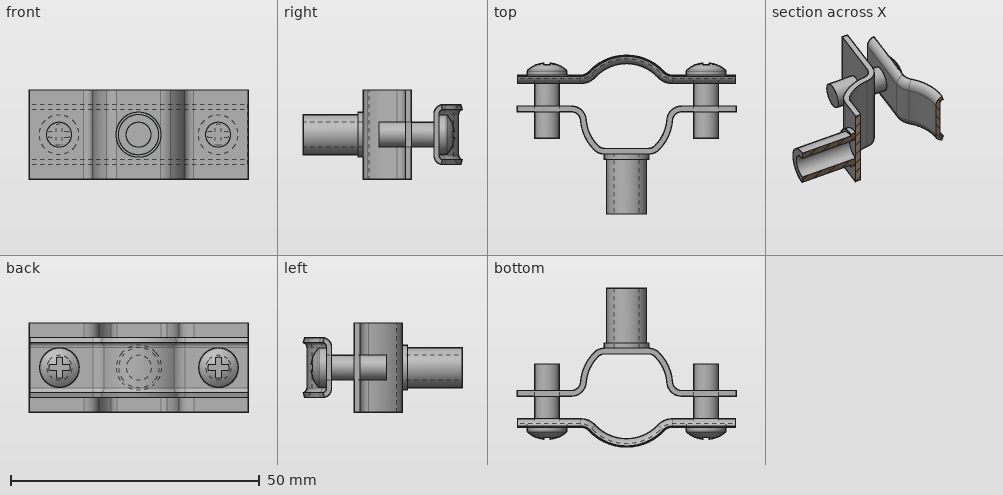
import cadquery as cq
import math


boss_length = 12.05
boss_diameter = 8.1
boss_bore_diameter = 5.0
flange_diameter = 9.05
flange_thickness = 1.05

screw_x = 15.95
shank_diameter = 5.0
shank_end_y = 15.22
head_diameter = 7.95
head_rim_height = 1.65
head_height = 3.2
head_edge_radius = 0.35
slot_width = 1.25
slot_depth = 0.4

saddle_left_x = -21.95
saddle_right_x = 22.05
saddle_width = 18.0
saddle_thickness = 1.2
saddle_ear_y = 21.75
saddle_web_y = boss_length + saddle_thickness
saddle_seat_radius = 8.1
saddle_seat_y = 19.55
saddle_ear_bend_radius = 3.0
saddle_web_bend_radius = 1.7

cap_half_length = 21.9
cap_width = 12.0
cap_thickness = 1.0
cap_ear_y = 26.22
cap_seat_radius = 8.6
cap_seat_y = 21.65
cap_ear_bend_radius = 4.0
cap_edge_inner_radius = 0.95
cap_edge_outer_radius = cap_edge_inner_radius + cap_thickness
cap_edge_sweep = 75

head_seat_y = cap_ear_y + cap_thickness


def y_cylinder(diameter, start_y, end_y, x=0):
    """Cylinder along Y between two Y positions."""
    plane = cq.Plane(origin=(x, start_y, 0), xDir=(1, 0, 0), normal=(0, 1, 0))
    return cq.Workplane(plane).circle(diameter / 2).extrude(end_y - start_y)


def tangent_bend(seat_y, seat_radius, bend_y, centre_distance):
    """Bend centre X and the point where the bend meets the seat circle."""
    bend_x = math.sqrt(centre_distance**2 - (bend_y - seat_y) ** 2)
    ratio = seat_radius / centre_distance
    return bend_x, (bend_x * ratio, seat_y + (bend_y - seat_y) * ratio)


def mirrored(point):
    return (-point[0], point[1])


def cut_screw_holes(body):
    for x in (-screw_x, screw_x):
        body = body.cut(y_cylinder(shank_diameter, shank_end_y, head_seat_y, x))
    return body


def make_saddle():
    ear_bend_x, seat_top = tangent_bend(
        saddle_seat_y,
        saddle_seat_radius,
        saddle_ear_y - saddle_ear_bend_radius,
        saddle_seat_radius + saddle_ear_bend_radius,
    )
    web_bend_x, seat_bottom = tangent_bend(
        saddle_seat_y,
        saddle_seat_radius,
        saddle_web_y + saddle_web_bend_radius,
        saddle_seat_radius - saddle_web_bend_radius,
    )
    path = (
        cq.Workplane("XY")
        .moveTo(saddle_left_x, saddle_ear_y)
        .lineTo(-ear_bend_x, saddle_ear_y)
        .tangentArcPoint(mirrored(seat_top), relative=False)
        .tangentArcPoint(mirrored(seat_bottom), relative=False)
        .tangentArcPoint((-web_bend_x, saddle_web_y), relative=False)
        .lineTo(web_bend_x, saddle_web_y)
        .tangentArcPoint(seat_bottom, relative=False)
        .tangentArcPoint(seat_top, relative=False)
        .tangentArcPoint((ear_bend_x, saddle_ear_y), relative=False)
        .lineTo(saddle_right_x, saddle_ear_y)
    )
    strip = (
        cq.Workplane("YZ", origin=(saddle_left_x, saddle_ear_y - saddle_thickness / 2, 0))
        .rect(saddle_thickness, saddle_width)
        .sweep(path)
    )
    return cut_screw_holes(strip)


def cap_section():
    """Channel section: a flat web with both edges curled away from the pipe."""
    centre_y = cap_ear_y + cap_edge_outer_radius
    centre_z = cap_width / 2 - cap_edge_outer_radius * math.sin(math.radians(cap_edge_sweep))

    def edge_point(radius, sweep, side):
        angle = math.radians(sweep)
        return (centre_y - radius * math.cos(angle), side * (centre_z + radius * math.sin(angle)))

    def outer(sweep, side):
        return edge_point(cap_edge_outer_radius, sweep, side)

    def inner(sweep, side):
        return edge_point(cap_edge_inner_radius, sweep, side)

    middle = cap_edge_sweep / 2
    return (
        cq.Workplane("YZ", origin=(-cap_half_length, 0, 0))
        .moveTo(*outer(0, -1))
        .lineTo(*outer(0, 1))
        .threePointArc(outer(middle, 1), outer(cap_edge_sweep, 1))
        .lineTo(*inner(cap_edge_sweep, 1))
        .threePointArc(inner(middle, 1), inner(0, 1))
        .lineTo(*inner(0, -1))
        .threePointArc(inner(middle, -1), inner(cap_edge_sweep, -1))
        .lineTo(*outer(cap_edge_sweep, -1))
        .threePointArc(outer(middle, -1), outer(0, -1))
        .close()
    )


def make_cap():
    bend_x, seat_end = tangent_bend(
        cap_seat_y,
        cap_seat_radius,
        cap_ear_y + cap_ear_bend_radius,
        cap_seat_radius + cap_ear_bend_radius,
    )
    path = (
        cq.Workplane("XY")
        .moveTo(-cap_half_length, cap_ear_y)
        .lineTo(-bend_x, cap_ear_y)
        .tangentArcPoint(mirrored(seat_end), relative=False)
        .tangentArcPoint(seat_end, relative=False)
        .tangentArcPoint((bend_x, cap_ear_y), relative=False)
        .lineTo(cap_half_length, cap_ear_y)
    )
    return cut_screw_holes(cap_section().sweep(path))


def make_screw(x):
    """Screw with a domed head and a cross slot."""
    head_radius = head_diameter / 2
    dome_height = head_height - head_rim_height
    dome_radius = (head_radius**2 + dome_height**2) / (2 * dome_height)
    rim_y = head_seat_y + head_rim_height
    top_y = head_seat_y + head_height
    dome_middle = (
        head_radius / 2,
        top_y - dome_radius + math.sqrt(dome_radius**2 - (head_radius / 2) ** 2),
    )
    screw = (
        cq.Workplane("XY")
        .moveTo(0, shank_end_y)
        .lineTo(shank_diameter / 2, shank_end_y)
        .lineTo(shank_diameter / 2, head_seat_y)
        .lineTo(head_radius, head_seat_y)
        .lineTo(head_radius, rim_y)
        .threePointArc(dome_middle, (0, top_y))
        .close()
        .revolve(360, (0, 0, 0), (0, 1, 0))
    )
    rim_edge = cq.selectors.BoxSelector(
        (-head_diameter, rim_y - head_edge_radius, -head_diameter),
        (head_diameter, rim_y + head_edge_radius, head_diameter),
        boundingbox=True,
    )
    screw = screw.edges(rim_edge).fillet(head_edge_radius)
    for slot_x, slot_z in ((slot_width, head_diameter), (head_diameter, slot_width)):
        slot = cq.Workplane("XY").box(slot_x, 2 * slot_depth, slot_z).translate((0, top_y, 0))
        screw = screw.cut(slot)
    return screw.translate((x, 0, 0))


def make_boss():
    """Flanged tube butted against the saddle web."""
    tube = y_cylinder(boss_diameter, 0, boss_length)
    flange = y_cylinder(flange_diameter, boss_length - flange_thickness, boss_length)
    return tube.union(flange).cut(y_cylinder(boss_bore_diameter, 0, boss_length))


saddle = make_saddle()
cap = make_cap()
boss = make_boss()
screws = [make_screw(x) for x in (-screw_x, screw_x)]

result = cq.Compound.makeCompound(
    [saddle.val(), cap.val(), boss.val(), *[screw.val() for screw in screws]]
)